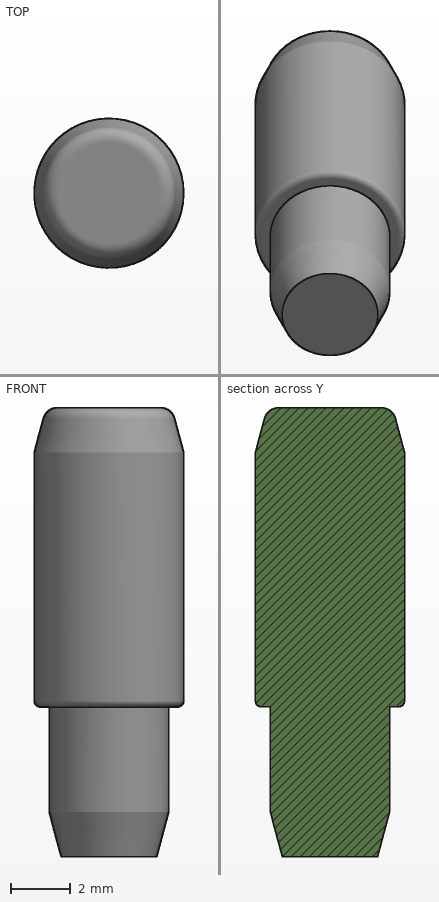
import cadquery as cq
import math

total_length = 15.0
body_diameter = total_length / 3
pin_diameter = 0.8 * body_diameter
pin_length = total_length / 3
taper_length = 1.5
taper_angle = 15.0
crown_radius = 0.5
shoulder_radius = 0.21

body_radius = body_diameter / 2
pin_radius = pin_diameter / 2
taper_inset = taper_length * math.tan(math.radians(taper_angle))


def revolve_about_z(half_profile):
    """Turn a closed half profile (radius, height) into a solid of revolution."""
    return (
        cq.Workplane("XZ")
        .polyline(half_profile)
        .close()
        .revolve(360, (0, 0, 0), (0, 1, 0))
    )


pin = revolve_about_z([
    (0, 0),
    (pin_radius - taper_inset, 0),
    (pin_radius, taper_length),
    (pin_radius, pin_length),
    (0, pin_length),
])

body = revolve_about_z([
    (0, pin_length),
    (body_radius, pin_length),
    (body_radius, total_length - taper_length),
    (body_radius - taper_inset, total_length),
    (0, total_length),
])

body = body.faces(">Z").edges().fillet(crown_radius)
body = body.faces("<Z").edges().fillet(shoulder_radius)

result = body.union(pin)